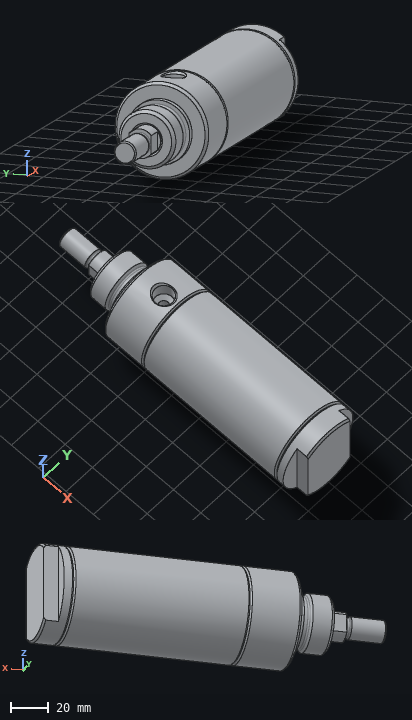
import cadquery as cq
import math


rod_neck_start = 19.2
rod_shoulder_x = 22.0
nose_front_x = 31.3
collar_front_x = 49.0
head_front_x = 52.5
barrel_front_x = 81.2
barrel_rear_x = 178.5
tang_start_x = 184.0
overall_length = 192.0

body_radius = 26.5
head_front_chamfer = 1.5
joint_chamfer = 1.0
cap_rear_chamfer = 1.2

rod_radius = 8.0
rod_tip_diameter = 12.5
rod_tip_radius = rod_tip_diameter / 2
rod_tip_chamfer = 0.8
rod_neck_radius = 5.5
rod_neck_start_fillet = 0.8
rod_neck_end_fillet = 0.5
rod_flats_width = 12.7

nose_diameter = 32.0
nose_radius = nose_diameter / 2
nose_front_chamfer = 1.7
undercut_start_x = 43.6
undercut_diameter = 28.6
undercut_radius = undercut_diameter / 2
undercut_start_fillet = 1.5
undercut_end_fillet = 1.2
collar_radius = 17.7
bore_chamfer = 1.05

port_x = 71.0
port_radius = 6.1
port_mouth_radius = 7.5
port_depth = 10.5
port_pilot_radius = 3.0
drill_point_angle = 118.0

tang_width = 31.9


def revolve_about_x(profile):
    """Revolve a closed (axial, radial) profile about the X axis."""
    return profile.close().revolve(360, (0, 0, 0), (1, 0, 0))


def add_neck(profile, start_x, outer_radius, neck_radius, start_fillet, end_x, end_fillet):
    """Continue a profile into a neck: 45 degree lead-in, rounded root, rounded corner at the end wall."""
    sin45 = math.sin(math.radians(45))
    root_rise = start_fillet * (1 - sin45)
    ramp = outer_radius - neck_radius - root_rise
    root_x = start_x + ramp + start_fillet * sin45
    corner_mid = (end_x - end_fillet * (1 - sin45), neck_radius + end_fillet * (1 - sin45))
    return (
        profile.lineTo(start_x, outer_radius)
        .lineTo(start_x + ramp, neck_radius + root_rise)
        .tangentArcPoint((root_x, neck_radius), relative=False)
        .lineTo(end_x - end_fillet, neck_radius)
        .threePointArc(corner_mid, (end_x, neck_radius + end_fillet))
    )


def make_rod():
    """Piston rod with a threaded tip, a neck and two wrench flats; it ends at the barrel face."""
    profile = (
        cq.Workplane("XY")
        .lineTo(0, rod_tip_radius - rod_tip_chamfer)
        .lineTo(rod_tip_chamfer, rod_tip_radius)
    )
    profile = add_neck(
        profile, rod_neck_start, rod_tip_radius, rod_neck_radius, rod_neck_start_fillet,
        rod_shoulder_x, rod_neck_end_fillet,
    )
    profile = (
        profile.lineTo(rod_shoulder_x, rod_radius)
        .lineTo(barrel_front_x, rod_radius)
        .lineTo(barrel_front_x, 0)
    )
    rod = revolve_about_x(profile)

    flats_length = nose_front_x - rod_shoulder_x
    cutter_size = 2 * rod_radius
    for side in (-1, 1):
        flat_cutter = cq.Workplane("XY").box(flats_length, cutter_size, cutter_size).translate(
            (rod_shoulder_x + flats_length / 2, side * (rod_flats_width + cutter_size) / 2, 0)
        )
        rod = rod.cut(flat_cutter)
    return rod


def make_port_cutter():
    """Countersunk port hole with a drill point and a pilot hole reaching the rod bore."""
    mouth_depth = port_mouth_radius - port_radius
    point_depth = (port_radius - port_pilot_radius) / math.tan(math.radians(drill_point_angle / 2))
    port_floor_z = body_radius - port_depth
    cutter = (
        cq.Workplane("XZ")
        .lineTo(port_pilot_radius, 0)
        .lineTo(port_pilot_radius, port_floor_z - point_depth)
        .lineTo(port_radius, port_floor_z)
        .lineTo(port_radius, body_radius - mouth_depth)
        .lineTo(port_mouth_radius, body_radius)
        .lineTo(0, body_radius)
        .close()
        .revolve(360, (0, 0, 0), (0, 1, 0))
    )
    return cutter.translate((port_x, 0, 0))


def make_head():
    """Front head: threaded nose, undercut and collar, bored through for the rod."""
    profile = (
        cq.Workplane("XY")
        .moveTo(nose_front_x, rod_radius + bore_chamfer)
        .lineTo(nose_front_x, nose_radius - nose_front_chamfer)
        .lineTo(nose_front_x + nose_front_chamfer, nose_radius)
    )
    profile = add_neck(
        profile, undercut_start_x, nose_radius, undercut_radius, undercut_start_fillet,
        collar_front_x, undercut_end_fillet,
    )
    profile = (
        profile.lineTo(collar_front_x, collar_radius)
        .lineTo(head_front_x, collar_radius)
        .lineTo(head_front_x, body_radius - head_front_chamfer)
        .lineTo(head_front_x + head_front_chamfer, body_radius)
        .lineTo(barrel_front_x - joint_chamfer, body_radius)
        .lineTo(barrel_front_x, body_radius - joint_chamfer)
        .lineTo(barrel_front_x, rod_radius)
        .lineTo(nose_front_x + bore_chamfer, rod_radius)
    )
    return revolve_about_x(profile).cut(make_port_cutter())


def make_chamfered_cylinder(start_x, end_x, start_chamfer, end_chamfer):
    """Solid cylinder of the body radius with a chamfer at each end."""
    profile = (
        cq.Workplane("XY")
        .moveTo(start_x, 0)
        .lineTo(start_x, body_radius - start_chamfer)
        .lineTo(start_x + start_chamfer, body_radius)
        .lineTo(end_x - end_chamfer, body_radius)
        .lineTo(end_x, body_radius - end_chamfer)
        .lineTo(end_x, 0)
    )
    return revolve_about_x(profile)


def make_barrel():
    """Plain barrel between the head and the end cap."""
    return make_chamfered_cylinder(barrel_front_x, barrel_rear_x, joint_chamfer, joint_chamfer)


def make_end_cap():
    """End cap whose rear is cut away on both sides to leave an upright tang."""
    cap = make_chamfered_cylinder(barrel_rear_x, overall_length, joint_chamfer, cap_rear_chamfer)
    tang_length = overall_length - tang_start_x
    cutter_size = 2 * body_radius
    for side in (-1, 1):
        side_cutter = cq.Workplane("XY").box(tang_length, cutter_size, cutter_size).translate(
            (tang_start_x + tang_length / 2, side * (tang_width + cutter_size) / 2, 0)
        )
        cap = cap.cut(side_cutter)
    return cap


rod = make_rod()
head = make_head()
barrel = make_barrel()
end_cap = make_end_cap()

result = cq.Compound.makeCompound([rod.val(), head.val(), barrel.val(), end_cap.val()])